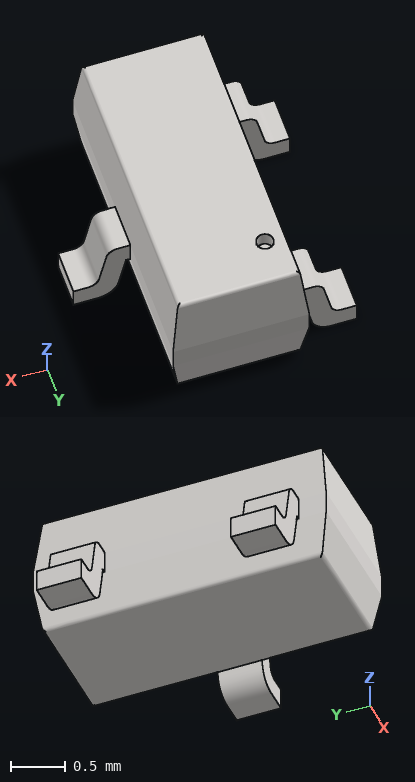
import cadquery as cq
import math

housing_width = 1.308
housing_length = 2.9
housing_bottom = 0.058
housing_top = 1.35
taper_inset = 0.067
rim_radius = 0.035
marker_diameter = 0.162
marker_depth = 0.162
marker_x = -0.392

lead_span = 2.4
lead_width = 0.44
lead_thickness = 0.223
shoulder_bottom = 0.5
shoulder_top = 0.728
shoulder_reach = 0.212
underside_reach = 0.04
lead_slope = math.radians(12)
bend_radius = 0.107
heel_radius = 0.2
lead_pitch = 0.96

housing_side = housing_width / 2
marker_y = lead_pitch


def tapered_block(base_z, height):
    """Block that narrows from the full outline at base_z; a negative height goes down."""
    return (
        cq.Workplane("XY", origin=(0, 0, base_z))
        .rect(housing_width, housing_length)
        .workplane(offset=height)
        .rect(housing_width - 2 * taper_inset, housing_length - 2 * taper_inset)
        .loft(ruled=True)
    )


def make_housing():
    """Straight belt with a tapered block above and below, rounded rims and a marker hole."""
    belt_height = shoulder_top - shoulder_bottom
    belt = (
        cq.Workplane("XY", origin=(0, 0, shoulder_bottom))
        .rect(housing_width, housing_length)
        .extrude(belt_height)
    )
    upper = tapered_block(shoulder_top, housing_top - shoulder_top)
    lower = tapered_block(shoulder_bottom, housing_bottom - shoulder_bottom)
    body = belt.union(upper).union(lower)
    body = body.faces(">Z or <Z").edges().fillet(rim_radius)

    marker = (
        cq.Workplane("XY", origin=(marker_x, marker_y, housing_top))
        .circle(marker_diameter / 2)
        .extrude(-marker_depth)
    )
    return body.cut(marker)


def make_lead(side, y_center):
    """Gull-wing lead on the +X (side = 1) or -X (side = -1) face of the housing."""
    toe = lead_span / 2
    shoulder_corner = housing_side + shoulder_reach
    underside_corner = housing_side + underside_reach
    instep_corner = shoulder_corner + (shoulder_top - lead_thickness) * math.tan(lead_slope)
    heel_corner = underside_corner + shoulder_bottom * math.tan(lead_slope)

    outline = [
        (housing_side, shoulder_top),
        (shoulder_corner, shoulder_top),
        (instep_corner, lead_thickness),
        (toe, lead_thickness),
        (toe, 0),
        (heel_corner, 0),
        (underside_corner, shoulder_bottom),
        (housing_side, shoulder_bottom),
    ]
    bends = [
        (shoulder_corner, shoulder_top, bend_radius),
        (instep_corner, lead_thickness, bend_radius),
        (heel_corner, 0, heel_radius),
    ]

    lead = (
        cq.Workplane("XZ", origin=(0, y_center, 0))
        .polyline([(side * x, z) for x, z in outline])
        .close()
        .extrude(lead_width / 2, both=True)
    )
    for x, z, radius in bends:
        bend_edge = cq.selectors.NearestToPointSelector((side * x, y_center, z))
        lead = lead.edges("|Y").edges(bend_edge).fillet(radius)
    return lead


housing = make_housing()
lead_places = [(-1, lead_pitch), (-1, -lead_pitch), (1, 0)]
leads = [make_lead(side, y_center) for side, y_center in lead_places]

result = cq.Compound.makeCompound([housing.val(), *[lead.val() for lead in leads]])